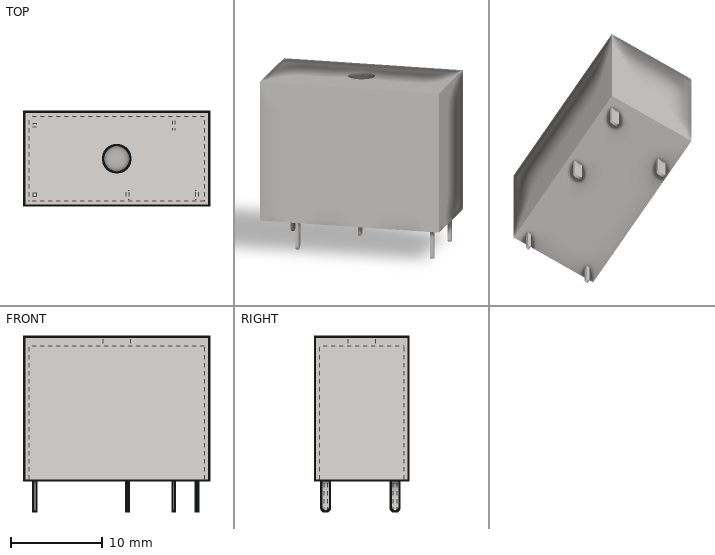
import cadquery as cq


cover_length = 20.3
cover_width = 10.31
cover_height = 15.8
top_thickness = 1.0
side_thickness = 0.5
vent_diameter = 3.0

base_length = cover_length - 2 * side_thickness
base_width = cover_width - 2 * side_thickness
base_height = cover_height - top_thickness

total_height = 19.2
pin_length = total_height - cover_height
coil_pin_thickness = 0.4
coil_pin_width = 0.4
contact_pin_thickness = 0.3
contact_pin_width = 1.0

pitch = 2.54
coil_pin_inset = 1.17
coil_x = -cover_length / 2 + coil_pin_inset
common_x = coil_x + 4 * pitch
open_contact_x = coil_x + 6 * pitch
closed_contact_x = coil_x + 7 * pitch
row_spacing = 3 * pitch
row_offset = -0.155
front_row_y = row_offset - row_spacing / 2
back_row_y = row_offset + row_spacing / 2

coil_pin_places = [(coil_x, front_row_y), (coil_x, back_row_y)]
contact_pin_places = [
    (common_x, front_row_y),
    (open_contact_x, back_row_y),
    (closed_contact_x, front_row_y),
]


def make_block(length, width, height):
    """Plain block centred on X and Y, standing on Z = 0."""
    return cq.Workplane("XY").box(length, width, height, centered=(True, True, False))


def make_cover():
    """Box open at the bottom, with a round vent through its top wall."""
    cavity = make_block(base_length, base_width, base_height)
    vent = (
        cq.Workplane("XY")
        .workplane(offset=base_height)
        .circle(vent_diameter / 2)
        .extrude(top_thickness)
    )
    return make_block(cover_length, cover_width, cover_height).cut(cavity).cut(vent)


def make_pin(thickness, width, x, y):
    """Flat pin hanging below Z = 0, with a half-round tip across its width."""
    half_width = width / 2
    tip_start = -pin_length + half_width
    return (
        cq.Workplane("YZ")
        .moveTo(-half_width, 0)
        .lineTo(-half_width, tip_start)
        .threePointArc((0, -pin_length), (half_width, tip_start))
        .lineTo(half_width, 0)
        .close()
        .extrude(thickness / 2, both=True)
        .translate((x, y, 0))
    )


def make_terminal_base():
    """Block inside the cover, flush with its rim, joined to all the pins."""
    base = make_block(base_length, base_width, base_height)
    for x, y in coil_pin_places:
        base = base.union(make_pin(coil_pin_thickness, coil_pin_width, x, y))
    for x, y in contact_pin_places:
        base = base.union(make_pin(contact_pin_thickness, contact_pin_width, x, y))
    return base


cover = make_cover()
terminal_base = make_terminal_base()

result = cq.Compound.makeCompound([cover.val(), terminal_base.val()])